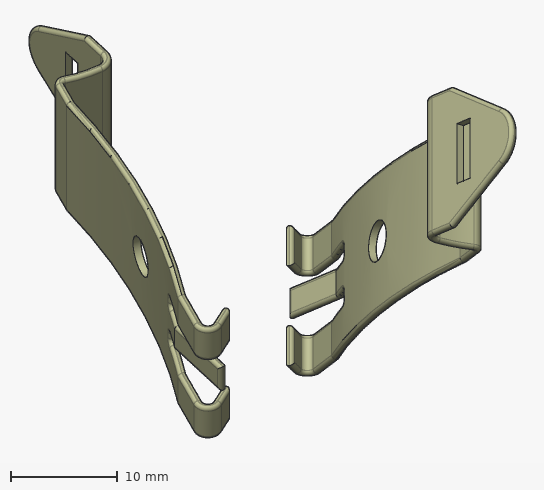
import cadquery as cq
import math

height = 6.3
width = 14.0
thickness = 0.8
half_width = width / 2
half_thickness = thickness / 2
rim_radius = 0.38

arch_start = 16.5
arch_end = 45.0
arch_rise = 1.5
hole_x = 31.7
hole_diameter = 4.0

foot_bend_x = 13.75
foot_bend_radius = 0.6
foot_overturn = 5.0
riser_lean = 12.0
shoulder_bend_radius = 1.4
tail_tilt = 15.0

tail_taper_angle = 30.0
tail_tip_radius = 3.2
strap_slot_x = 6.74
strap_slot_width = 1.9
strap_slot_length = 6.0

prong_width = 4.0
hook_x = 49.1
hook_radius = 1.0
hook_turn = 135.0
hook_lip = 2.2

tongue_width = 3.0
tongue_kink_x = 43.3
tongue_tip_x = 50.2
tongue_tilt = 15.0
gap_root_x = 40.75
gap_corner_radius = 0.4

prong_inner_z = half_width - prong_width
cut_reach = 4 * height


def sin(angle):
    return math.sin(math.radians(angle))


def cos(angle):
    return math.cos(math.radians(angle))


def polar(origin, distance, angle):
    """Point at a distance from the origin point, in the direction of the angle."""
    return (origin[0] + distance * cos(angle), origin[1] + distance * sin(angle))


foot_center = (foot_bend_x, half_thickness + foot_bend_radius)
foot_end_angle = 180 - foot_overturn
foot_end = polar(foot_center, foot_bend_radius, foot_end_angle)
shoulder_rise = shoulder_bend_radius * (1 - sin(riser_lean))
riser_height = height - half_thickness - shoulder_rise - foot_end[1]
riser_radius = riser_height / (sin(riser_lean) + sin(foot_overturn))
riser_center = polar(foot_end, riser_radius, foot_end_angle)
riser_end = polar(riser_center, riser_radius, riser_lean)
shoulder_center = polar(riser_end, -shoulder_bend_radius, riser_lean)
tail_normal_angle = 90 + tail_tilt
tail_root = polar(shoulder_center, shoulder_bend_radius, tail_normal_angle)
tail_length = tail_root[0] / cos(tail_tilt)
hook_center = (hook_x, half_thickness + hook_radius)
hook_end_angle = hook_turn - 90

arch_half_span = (arch_end - arch_start) / 2
arch_radius = (arch_half_span**2 + arch_rise**2) / (2 * arch_rise)
arch_middle_x = (arch_start + arch_end) / 2


def arch_bottom(x):
    return arch_rise - arch_radius + math.sqrt(arch_radius**2 - (x - arch_middle_x) ** 2)


def add_arc(sketch, center, radius, start_angle, end_angle):
    middle_angle = (start_angle + end_angle) / 2
    return sketch.threePointArc(
        polar(center, radius, middle_angle), polar(center, radius, end_angle)
    )


def make_bent_sheet():
    """Side profile of the strip, extruded over the full width."""
    h = half_thickness
    tail_under = polar(tail_root, -h, tail_normal_angle)
    tip_under = polar(tail_under, tail_length, 180 + tail_tilt)
    profile = cq.Workplane("XY").moveTo(*tip_under).lineTo(*tail_under)
    profile = add_arc(profile, shoulder_center, shoulder_bend_radius - h, tail_normal_angle, riser_lean)
    profile = add_arc(profile, riser_center, riser_radius - h, riser_lean, -foot_overturn)
    profile = add_arc(profile, foot_center, foot_bend_radius + h, foot_end_angle, 270)
    profile = profile.lineTo(arch_start, 0)
    profile = profile.threePointArc((arch_middle_x, arch_rise), (arch_end, 0))
    profile = profile.lineTo(hook_x, 0)
    profile = add_arc(profile, hook_center, hook_radius + h, -90, hook_end_angle)
    lip_outer = polar(polar(hook_center, hook_radius + h, hook_end_angle), hook_lip, hook_turn)
    profile = profile.lineTo(*lip_outer)
    profile = profile.lineTo(*polar(lip_outer, -thickness, hook_end_angle))
    profile = profile.lineTo(*polar(hook_center, hook_radius - h, hook_end_angle))
    profile = add_arc(profile, hook_center, hook_radius - h, hook_end_angle, -90)
    profile = profile.lineTo(arch_end, thickness)
    profile = profile.threePointArc((arch_middle_x, arch_rise + thickness), (arch_start, thickness))
    profile = profile.lineTo(foot_bend_x, thickness)
    profile = add_arc(profile, foot_center, foot_bend_radius - h, 270, foot_end_angle)
    profile = add_arc(profile, riser_center, riser_radius + h, -foot_overturn, riser_lean)
    profile = add_arc(profile, shoulder_center, shoulder_bend_radius + h, riser_lean, tail_normal_angle)
    profile = profile.lineTo(*polar(tip_under, thickness, tail_normal_angle))
    return profile.close().extrude(half_width, both=True)


def tail_plane():
    """Plane of the tail's mid-surface: its x runs along the tail from the tip, its y along Z."""
    tip = polar(tail_root, tail_length, 180 + tail_tilt)
    return cq.Plane(
        origin=(tip[0], tip[1], 0),
        xDir=(cos(tail_tilt), sin(tail_tilt), 0),
        normal=(sin(tail_tilt), -cos(tail_tilt), 0),
    )


def taper_tail(sheet):
    """Trim the tail to two straight tapers that run tangent into a round tip."""
    tangent_x = tail_tip_radius * (1 - sin(tail_taper_angle))
    tangent_z = tail_tip_radius * cos(tail_taper_angle)
    shoulder_x = tangent_x + (half_width - tangent_z) / math.tan(math.radians(tail_taper_angle))
    outline = (
        cq.Workplane(tail_plane())
        .moveTo(shoulder_x, half_width)
        .lineTo(tangent_x, tangent_z)
        .threePointArc((0, 0), (tangent_x, -tangent_z))
        .lineTo(shoulder_x, -half_width)
        .lineTo(-width, -half_width)
        .lineTo(-width, half_width)
        .close()
    )
    return sheet.cut(outline.extrude(thickness, both=True))


def block(x_min, x_max, z_min, z_max):
    size = (x_max - x_min, 2 * cut_reach, z_max - z_min)
    return cq.Workplane("XY").box(*size).translate(((x_min + x_max) / 2, 0, (z_min + z_max) / 2))


def split_prongs(sheet):
    """Open the space between the prongs, leaving a stub for the spring tongue."""
    far_x = hook_x + width
    sheet = sheet.cut(block(tongue_kink_x, far_x, -prong_inner_z, prong_inner_z))
    for side in (1, -1):
        z_limits = sorted((side * tongue_width / 2, side * prong_inner_z))
        gap = block(gap_root_x, far_x, *z_limits).edges("|Y and <X").fillet(gap_corner_radius)
        sheet = sheet.cut(gap)
    return sheet


def make_tongue():
    """Straight spring tongue that rises from the stub at the end of the arch."""
    root_bottom = arch_bottom(tongue_kink_x)
    length = (tongue_tip_x - tongue_kink_x) / cos(tongue_tilt)
    tip = polar((tongue_kink_x, root_bottom), length, tongue_tilt)
    return (
        cq.Workplane("XY")
        .moveTo(tongue_kink_x, root_bottom)
        .lineTo(*tip)
        .lineTo(*polar(tip, thickness, 90 + tongue_tilt))
        .lineTo(tongue_kink_x, root_bottom + thickness)
        .close()
        .extrude(tongue_width / 2, both=True)
    )


def is_rim_edge(edge):
    """True for edges that border the thin rim, false for bend lines and edges across the thickness."""
    if edge.geomType() != "LINE":
        return True
    tolerance = 0.01
    middle = edge.Center()
    along_width = abs(edge.tangentAt(0).z) > 1 - tolerance
    if along_width:
        at_gap_root = abs(middle.x - gap_root_x) < tolerance
        at_tongue_tip = abs(middle.z) < tolerance and middle.x > hook_x
        at_prong_lip = arch_end < middle.x < hook_x and middle.y > hook_center[1] + hook_radius
        return at_gap_root or at_tongue_tip or at_prong_lip
    return abs(edge.Length() - thickness) > tolerance


def round_rims(sheet):
    """Round the whole outline of the sheet on both faces."""
    return sheet.newObject(sheet.edges().filter(is_rim_edge).vals()).fillet(rim_radius)


def cut_strap_slot(sheet):
    tool = cq.Workplane(tail_plane()).center(strap_slot_x / cos(tail_tilt), 0)
    return sheet.cut(tool.rect(strap_slot_width, strap_slot_length).extrude(thickness, both=True))


def drill_hole(sheet):
    tool = cq.Workplane("XZ").center(hole_x, 0).circle(hole_diameter / 2)
    return sheet.cut(tool.extrude(cut_reach, both=True))


result = make_bent_sheet()
result = taper_tail(result)
result = split_prongs(result)
result = result.union(make_tongue())
result = round_rims(result)
result = cut_strap_slot(result)
result = drill_hole(result)